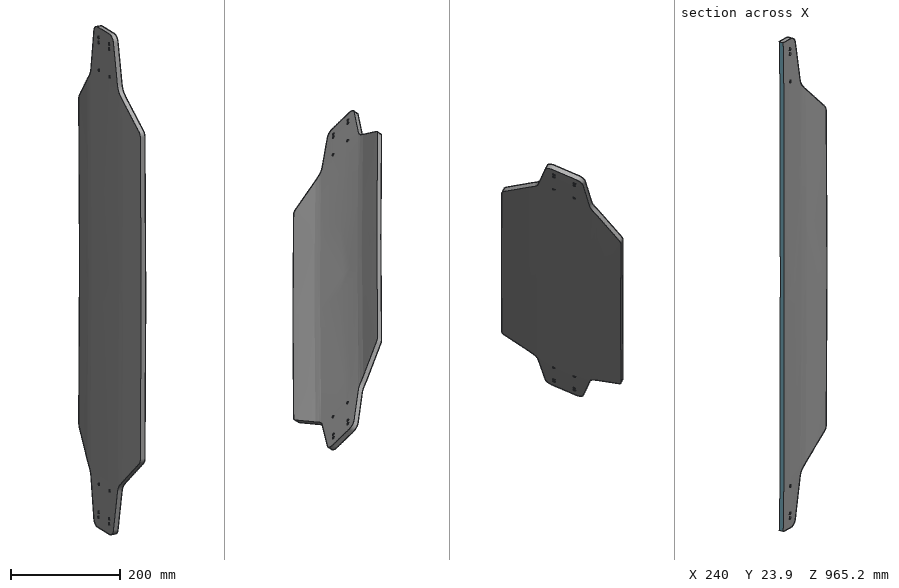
import math

import cadquery as cq

deck_length = 965.2
deck_width = 240.0
deck_depth = 23.85
thickness = 9.75

camber = 4.1
concave_depth = 2.2
concave_end = 400.0
station_fractions = (-1.0, -0.5, 0.0, 0.5, 1.0)

half_length = deck_length / 2
half_width = deck_width / 2
foot_half = 53.5
wing_start = 68.0
bend_x = (foot_half + wing_start) / 2
wing_rise = deck_depth - thickness - camber
wing_angle = math.atan(wing_rise / (half_width - bend_x))

bend_radius = (wing_start - bend_x) / math.tan(wing_angle / 2)


def bend_point(angle):
    """Point (x, rise) on the bend arc after turning by the given angle."""
    return foot_half + bend_radius * math.sin(angle), bend_radius * (1 - math.cos(angle))


mid_x, mid_y = bend_point(wing_angle / 2)
end_x, end_y = bend_point(wing_angle)

nose_angle = 9.9
neck_z = 383.0
shoulder_z = neck_z - (half_width - foot_half)
nose_half = foot_half - (half_length - neck_z) * math.tan(math.radians(nose_angle))
nose_radius = 15.0
neck_radius = 30.0
shoulder_radius = 15.0

hole_diameter = 5.0
hole_spacing = 41.3
inner_hole_offset = 83.3
truck_hole_lengths = (0.0, 53.8, 63.5)

cut_margin = 20.0
prism_start = -cut_margin
prism_depth = deck_depth + 2 * cut_margin


def camber_height(z):
    """Rise of the foot bed edge above the deck ends at height z."""
    return camber * (1 - (z / half_length) ** 2)


def concave_dip(z):
    """Dip of the foot bed centre below its edges at height z."""
    return concave_depth * max(0.0, 1 - (z / concave_end) ** 2)


def cross_section(z):
    """Full-width bent section of the deck at height z."""
    base = camber_height(z)
    dip = concave_dip(z)
    upper = base + thickness

    def foot_bed(sketch, side, level):
        """Add the foot bed, ending on the given side (+1 or -1)."""
        if dip > 0:
            return sketch.threePointArc((0, level - dip), (side * foot_half, level))
        return sketch.lineTo(side * foot_half, level)

    section = cq.Workplane("XY").workplane(offset=z).moveTo(-half_width, base + wing_rise)
    section = section.lineTo(-end_x, base + end_y)
    section = section.threePointArc((-mid_x, base + mid_y), (-foot_half, base))
    section = foot_bed(section, 1, base)
    section = section.threePointArc((mid_x, base + mid_y), (end_x, base + end_y))
    section = section.lineTo(half_width, base + wing_rise)
    section = section.lineTo(half_width, upper + wing_rise)
    section = section.lineTo(end_x, upper + end_y)
    section = section.threePointArc((mid_x, upper + mid_y), (foot_half, upper))
    section = foot_bed(section, -1, upper)
    section = section.threePointArc((-mid_x, upper + mid_y), (-end_x, upper + end_y))
    section = section.lineTo(-half_width, upper + wing_rise)
    return section.close().wires().val()


def bent_blank():
    """Full-width bent board, before its outline is cut."""
    stations = [fraction * concave_end for fraction in station_fractions]
    stations = [-half_length] + stations + [half_length]
    return cq.Workplane(cq.Solid.makeLoft([cross_section(z) for z in stations]))


def round_corners(body, x, z, radius):
    """Round the four Y-direction outline edges at (+-x, +-z)."""
    for side in (-1, 1):
        for end in (-1, 1):
            corner = (side * x, prism_start + prism_depth / 2, end * z)
            body = body.edges("|Y").edges(cq.selectors.NearestToPointSelector(corner)).fillet(radius)
    return body


def outline_body():
    """Prism along Y with the deck outline."""
    quarter = [(nose_half, half_length), (foot_half, neck_z), (half_width, shoulder_z)]
    right = quarter + [(x, -z) for x, z in reversed(quarter)]
    left = [(-x, -z) for x, z in right]
    body = cq.Workplane("XZ", origin=(0, prism_start, 0)).polyline(right + left).close()
    body = body.extrude(-prism_depth)
    body = round_corners(body, nose_half, half_length, nose_radius)
    body = round_corners(body, foot_half, neck_z, neck_radius)
    return round_corners(body, half_width, shoulder_z, shoulder_radius)


def truck_holes():
    """Through holes for both trucks."""
    points = []
    for end in (-1, 1):
        for row in truck_hole_lengths:
            z = end * (half_length - inner_hole_offset + row)
            points += [(-hole_spacing / 2, z), (hole_spacing / 2, z)]
    holes = cq.Workplane("XZ", origin=(0, prism_start, 0)).pushPoints(points)
    return holes.circle(hole_diameter / 2).extrude(-prism_depth)


result = bent_blank().intersect(outline_body()).cut(truck_holes())